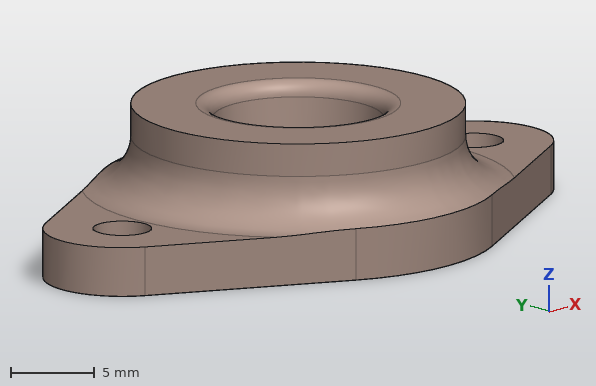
import cadquery as cq
import math

flange_thickness = 3.0
middle_radius = 12.0
ear_radius = 4.75
ear_offset = 15.0
bolt_hole_diameter = 3.5

total_height = 8.0
boss_radius = 10.0
flare_radius = 3.0

bore_bottom_radius = 4.5
bore_taper = 5.0
lip_radius = 1.0


def make_outline(height):
    """Prism with the flange outline: four arcs joined by their common tangents."""
    tangent_sin = (middle_radius - ear_radius) / ear_offset
    tangent_cos = math.sqrt(1 - tangent_sin**2)
    middle_x = middle_radius * tangent_sin
    middle_y = middle_radius * tangent_cos
    ear_x = ear_offset + ear_radius * tangent_sin
    ear_y = ear_radius * tangent_cos
    ear_tip = ear_offset + ear_radius
    return (
        cq.Workplane("XY")
        .moveTo(-middle_x, middle_y)
        .threePointArc((0, middle_radius), (middle_x, middle_y))
        .lineTo(ear_x, ear_y)
        .threePointArc((ear_tip, 0), (ear_x, -ear_y))
        .lineTo(middle_x, -middle_y)
        .threePointArc((0, -middle_radius), (-middle_x, -middle_y))
        .lineTo(-ear_x, -ear_y)
        .threePointArc((-ear_tip, 0), (-ear_x, ear_y))
        .close()
        .extrude(height)
    )


def make_boss():
    """Revolved boss whose concave flare runs tangent to its side and to the flange top."""
    flare_outer_radius = boss_radius + flare_radius
    flare_top = flange_thickness + flare_radius
    flare_mid_offset = flare_radius * math.sqrt(0.5)
    flare_middle = (flare_outer_radius - flare_mid_offset, flare_top - flare_mid_offset)
    return (
        cq.Workplane("XZ")
        .lineTo(flare_outer_radius, 0)
        .lineTo(flare_outer_radius, flange_thickness)
        .threePointArc(flare_middle, (boss_radius, flare_top))
        .lineTo(boss_radius, total_height)
        .lineTo(0, total_height)
        .close()
        .revolve(360, (0, 0), (0, 1))
    )


def make_bore():
    """Revolved cutter: tapered wall, then a convex lip tangent to the wall and the top face."""
    taper = math.radians(bore_taper)
    lip_centre_height = total_height - lip_radius
    contact_height = lip_centre_height + lip_radius * math.sin(taper)
    contact_radius = bore_bottom_radius + contact_height * math.tan(taper)
    lip_centre_radius = contact_radius + lip_radius * math.cos(taper)
    lip_middle_angle = (taper + math.radians(90)) / 2
    lip_middle = (
        lip_centre_radius - lip_radius * math.cos(lip_middle_angle),
        lip_centre_height + lip_radius * math.sin(lip_middle_angle),
    )
    return (
        cq.Workplane("XZ")
        .lineTo(bore_bottom_radius, 0)
        .lineTo(contact_radius, contact_height)
        .threePointArc(lip_middle, (lip_centre_radius, total_height))
        .lineTo(0, total_height)
        .close()
        .revolve(360, (0, 0), (0, 1))
    )


def make_bolt_holes():
    """One through hole at the centre of each ear."""
    return (
        cq.Workplane("XY")
        .pushPoints([(-ear_offset, 0), (ear_offset, 0)])
        .circle(bolt_hole_diameter / 2)
        .extrude(flange_thickness)
    )


flange = make_outline(flange_thickness)
boss = make_boss().intersect(make_outline(total_height))
result = flange.union(boss).cut(make_bore()).cut(make_bolt_holes())